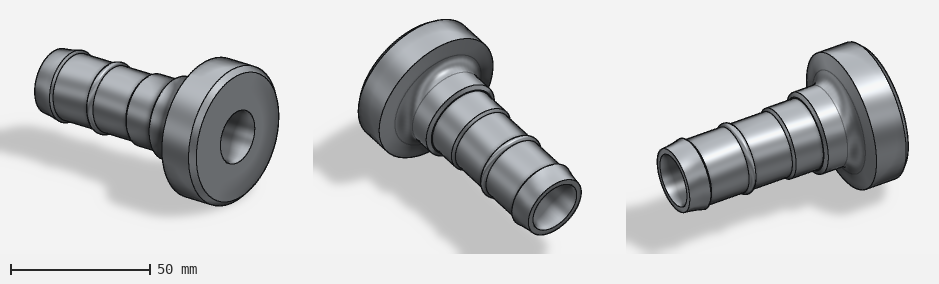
import cadquery as cq
import math

length = 83.0
bore_diameter = 20.0
tube_diameter = 25.0
collar_diameter = 27.0
boss_diameter = 31.1
flange_diameter = 52.0

nose_diameter = 24.2
barb_length = 7.9
barb_back_length = 0.8
flare_sag = 0.21

collar_start = 42.8
boss_start = 53.95
collar_chamfer = 1.0
boss_chamfer_length = 0.9
boss_chamfer_depth = 1.7

fillet_start = 62.8
fillet_radius = 5.0
flange_face_angle = math.radians(10)
flange_chamfer = 2.0

ring_position = 25.5
ring_section_radius = 1.5

bore_radius = bore_diameter / 2
tube_radius = tube_diameter / 2
collar_radius = collar_diameter / 2
boss_radius = boss_diameter / 2
flange_radius = flange_diameter / 2
ring_center_radius = collar_radius - ring_section_radius


def fillet_point(sweep):
    """Point on the flange fillet after turning by the given angle from the boss."""
    return (
        fillet_start + fillet_radius * math.sin(sweep),
        boss_radius + fillet_radius * (1 - math.cos(sweep)),
    )


def make_ring():
    """Round-section ring about the X axis."""
    return (
        cq.Workplane("XY")
        .center(ring_position, ring_center_radius)
        .circle(ring_section_radius)
        .revolve(360, (0, -ring_center_radius), (1, -ring_center_radius))
    )


def make_fitting():
    """Hose tail with barb, collar, boss and flange, bored through and grooved for the ring."""
    nose_radius = nose_diameter / 2
    flare_middle = (barb_length / 2, (nose_radius + collar_radius) / 2 - flare_sag)

    fillet_sweep = math.pi / 2 - flange_face_angle
    fillet_end = fillet_point(fillet_sweep)
    flange_start = fillet_end[0] + (flange_radius - fillet_end[1]) * math.tan(flange_face_angle)

    body = (
        cq.Workplane("XY")
        .moveTo(0, bore_radius)
        .lineTo(0, nose_radius)
        .threePointArc(flare_middle, (barb_length, collar_radius))
        .lineTo(barb_length + barb_back_length, tube_radius)
        .lineTo(collar_start - collar_chamfer, tube_radius)
        .lineTo(collar_start, collar_radius)
        .lineTo(boss_start, collar_radius)
        .lineTo(boss_start, boss_radius - boss_chamfer_depth)
        .lineTo(boss_start + boss_chamfer_length, boss_radius)
        .lineTo(fillet_start, boss_radius)
        .threePointArc(fillet_point(fillet_sweep / 2), fillet_end)
        .lineTo(flange_start, flange_radius)
        .lineTo(length - flange_chamfer, flange_radius)
        .lineTo(length, flange_radius - flange_chamfer)
        .lineTo(length, bore_radius)
        .close()
        .revolve(360, (0, 0), (1, 0))
    )
    return body.cut(make_ring())


fitting = make_fitting()
sealing_ring = make_ring()

result = cq.Compound.makeCompound([fitting.val(), sealing_ring.val()])